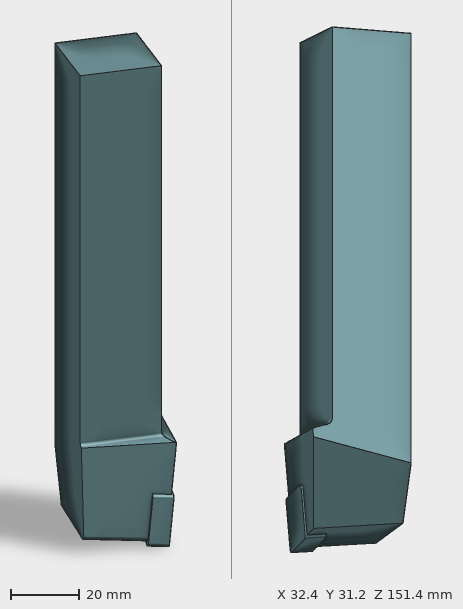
import cadquery as cq
import math

LENGTH = 151.4
SHANK = 25.0
ROOT_RADIUS = 1.8
SHOULDER_Z = 33.0
BACK_SLOPE = 19.0
SIDE_SLOPE = 15.0
BLANK = 45.4

RAKE_X = 0.1
RAKE_Z = -0.114
RAKE_FACE_Y = 31.2
RAKE_FACE_Z = 30.9

BEVEL_TOP_Z = 22.9
BEVEL_SHIFT_X = 0.11
BEVEL_FOOT = (6.4, 6.0)
TOE = (28.8, 4.0)
CUTTING_ANGLE = 5.0
FLANK_TOP_Z = 37.8
TOE_RADIUS = 1.2

INSERT_WIDTH = 15.9
INSERT_ANGLE = 80.0
INSERT_THICKNESS = 6.4
INSERT_RAISE = 0.6
NOSE_RADIUS = 1.2
NOSE_X = 32.4
NOSE_Z = -0.05


def rake_plane(x, z):
    """Plane of the head's rear face, its origin above (x, z), its normal along the rake."""
    y = RAKE_FACE_Y - RAKE_X * x - RAKE_Z * (z - RAKE_FACE_Z)
    return cq.Plane(origin=(x, y, z), xDir=(-1, RAKE_X, 0), normal=(RAKE_X, 1, RAKE_Z))


def shoulder_blank(plane, slope, depth):
    """Shank and one sloped shoulder as a profile, with a tangent root fillet."""
    angle = math.radians(slope)
    turn = (math.pi / 2 - angle) / 2
    tangent = ROOT_RADIUS * math.tan(turn)
    center = (SHANK + ROOT_RADIUS, SHOULDER_Z + tangent)
    arc_middle = (center[0] - ROOT_RADIUS * math.cos(turn), center[1] - ROOT_RADIUS * math.sin(turn))
    arc_end = (SHANK + tangent * math.cos(angle), SHOULDER_Z - tangent * math.sin(angle))
    edge_z = SHOULDER_Z - (BLANK - SHANK) * math.tan(angle)
    return (
        cq.Workplane(plane)
        .polyline([(0, LENGTH), (0, 0), (BLANK, 0), (BLANK, edge_z), arc_end])
        .threePointArc(arc_middle, (SHANK, center[1]))
        .lineTo(SHANK, LENGTH)
        .close()
        .extrude(depth)
    )


def head_flanks():
    """Oblique prism bounded by the bevel, the bottom flank and the side flank."""
    lean = math.tan(math.radians(CUTTING_ANGLE))
    bevel_run = BEVEL_FOOT[0] / (BEVEL_TOP_Z - BEVEL_FOOT[1])
    bevel_start_x = BEVEL_FOOT[0] - bevel_run * (FLANK_TOP_Z - BEVEL_FOOT[1])
    bevel = [(bevel_start_x, LENGTH + BLANK), (bevel_start_x, FLANK_TOP_Z), BEVEL_FOOT]
    flank = [
        TOE,
        (TOE[0] - lean * (FLANK_TOP_Z - TOE[1]), FLANK_TOP_Z),
        (2 * BLANK, FLANK_TOP_Z),
        (2 * BLANK, LENGTH + BLANK),
    ]
    bottom_slope = (TOE[1] - BEVEL_FOOT[1]) / (TOE[0] - BEVEL_FOOT[0])
    bevel_shift_z = RAKE_Z + bottom_slope * (BEVEL_SHIFT_X - RAKE_X)
    rear = [(x + BEVEL_SHIFT_X * BLANK, z + bevel_shift_z * BLANK) for x, z in bevel]
    rear += [(x + RAKE_X * BLANK, z + RAKE_Z * BLANK) for x, z in flank]
    front_wire = cq.Wire.makePolygon([cq.Vector(x, 0, z) for x, z in bevel + flank], close=True)
    rear_wire = cq.Wire.makePolygon([cq.Vector(x, BLANK, z) for x, z in rear], close=True)
    prism = cq.Workplane(cq.Solid.makeLoft([front_wire, rear_wire], True))
    toe_middle = (TOE[0] + RAKE_X * BLANK / 2, BLANK / 2, TOE[1] + RAKE_Z * BLANK / 2)
    return prism.edges(cq.NearestToPointSelector(toe_middle)).fillet(TOE_RADIUS)


def make_insert():
    """Rhombic insert with rounded corners, its nose at the toe of the head."""
    side = INSERT_WIDTH / math.sin(math.radians(INSERT_ANGLE))
    low = math.radians(CUTTING_ANGLE)
    high = math.radians(CUTTING_ANGLE + INSERT_ANGLE)
    bottom_end = (side * math.cos(low), side * math.sin(low))
    side_end = (side * math.cos(high), side * math.sin(high))
    far_corner = (bottom_end[0] + side_end[0], bottom_end[1] + side_end[1])
    return (
        cq.Workplane(rake_plane(NOSE_X, NOSE_Z))
        .workplane(offset=INSERT_RAISE - INSERT_THICKNESS)
        .polyline([(0, 0), bottom_end, far_corner, side_end])
        .close()
        .extrude(INSERT_THICKNESS)
        .edges(cq.ParallelDirSelector(cq.Vector(RAKE_X, 1, RAKE_Z)))
        .fillet(NOSE_RADIUS)
    )


def make_holder(insert):
    """Shank and head in one piece, with a pocket that fits the insert."""
    blank = shoulder_blank("YZ", BACK_SLOPE, BLANK)
    blank = blank.intersect(shoulder_blank("XZ", SIDE_SLOPE, -BLANK))
    behind = cq.Workplane(rake_plane(0, RAKE_FACE_Z)).rect(4 * BLANK, 2 * BLANK).extrude(BLANK)
    return blank.intersect(head_flanks()).cut(behind).cut(insert)


insert = make_insert()
holder = make_holder(insert)
result = cq.Compound.makeCompound([holder.val(), insert.val()])